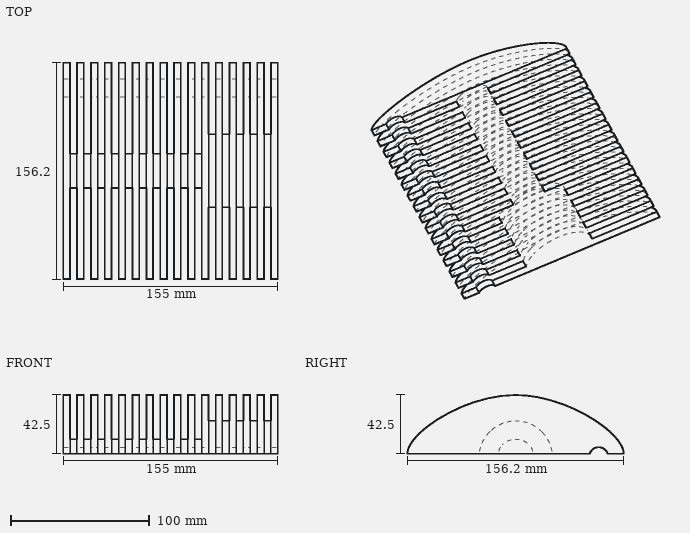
import cadquery as cq

FIN_COUNT = 16
FIN_THICKNESS = 5.0
FIN_PITCH = 2 * FIN_THICKNESS
LENGTH = (FIN_COUNT - 1) * FIN_PITCH + FIN_THICKNESS

FIN_HALF_WIDTH = 78.1
FIN_HEIGHT = 42.5
FIN_FOOT_HANDLE = 15.2
FIN_CROWN_HANDLE = 36.9

SMALL_CORE_HALF_WIDTH = 12.5
SMALL_CORE_HEIGHT = 10.6
SMALL_CORE_FINS = 11
SPLIT_X = (SMALL_CORE_FINS - 1) * FIN_PITCH + FIN_THICKNESS

LARGE_CORE_RADIUS = 26.5
LARGE_CORE_CENTER_Z = -2.7

GROOVE_RADIUS = 6.7
GROOVE_Y = 60.0
GROOVE_CENTER_Z = -2.0


def make_fin(start_x):
    """Domed plate whose lower X face is at start_x."""
    right_foot = (FIN_HALF_WIDTH, 0)
    crown = (0, FIN_HEIGHT)
    left_foot = (-FIN_HALF_WIDTH, 0)
    right_handles = [(FIN_HALF_WIDTH, FIN_FOOT_HANDLE), (FIN_CROWN_HANDLE, FIN_HEIGHT)]
    left_handles = [(-FIN_CROWN_HANDLE, FIN_HEIGHT), (-FIN_HALF_WIDTH, FIN_FOOT_HANDLE)]
    outline = (
        cq.Workplane("YZ", origin=(start_x, 0, 0))
        .moveTo(*right_foot)
        .bezier([right_foot, *right_handles, crown])
        .bezier([crown, *left_handles, left_foot])
        .close()
    )
    return outline.extrude(FIN_THICKNESS)


def make_rod(start_x, end_x, center_y, center_z, radius):
    """Round bar along X."""
    return (
        cq.Workplane("YZ", origin=(start_x, center_y, center_z))
        .circle(radius)
        .extrude(end_x - start_x)
    )


small_core = (
    cq.Workplane("YZ")
    .ellipse(SMALL_CORE_HALF_WIDTH, SMALL_CORE_HEIGHT)
    .extrude(SPLIT_X)
)
large_core = make_rod(SPLIT_X, LENGTH, 0, LARGE_CORE_CENTER_Z, LARGE_CORE_RADIUS)
above_base = cq.Workplane("XY").box(LENGTH, 2 * FIN_HALF_WIDTH, FIN_HEIGHT, centered=(False, True, False))
body = small_core.union(large_core).intersect(above_base)

for index in range(FIN_COUNT):
    body = body.union(make_fin(index * FIN_PITCH))

groove = make_rod(0, LENGTH, GROOVE_Y, GROOVE_CENTER_Z, GROOVE_RADIUS)
result = body.cut(groove)